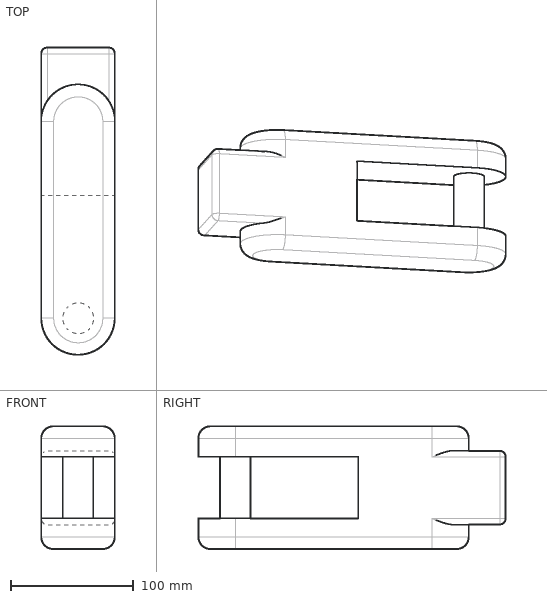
import cadquery as cq

width = 60.0
height = 100.0
end_radius = width / 2
centre_distance = 160.0
body_fillet = 10.0

gap_height = 50.0
gap_depth = 130.0
pin_diameter = 25.0

tongue_height = 60.0
tongue_overhang = 30.0
tongue_fillet = 5.0


def make_body():
    """Bar with round ends and rounded top and bottom rims."""
    bar = (
        cq.Workplane("XY")
        .center(0, centre_distance / 2)
        .slot2D(centre_distance + width, width, 90)
        .extrude(height / 2, both=True)
    )
    return bar.faces("|Z").edges().fillet(body_fillet)


def make_gap():
    """Block that opens the front of the bar into two fork arms."""
    return (
        cq.Workplane("XY")
        .box(width, gap_depth, gap_height, centered=(True, False, True))
        .translate((0, -end_radius, 0))
    )


def make_pin():
    """Round pin joining the two fork arms."""
    return cq.Workplane("XY").cylinder(gap_height, pin_diameter / 2)


def make_tongue():
    """Square block growing out of the rear round end, with rounded free edges."""
    length = end_radius + tongue_overhang
    block = cq.Workplane("XY").box(width, length, tongue_height, centered=(True, False, True))
    block = block.edges("|Y or >Y").fillet(tongue_fillet)
    return block.translate((0, centre_distance, 0))


result = make_body().cut(make_gap()).union(make_pin()).union(make_tongue())